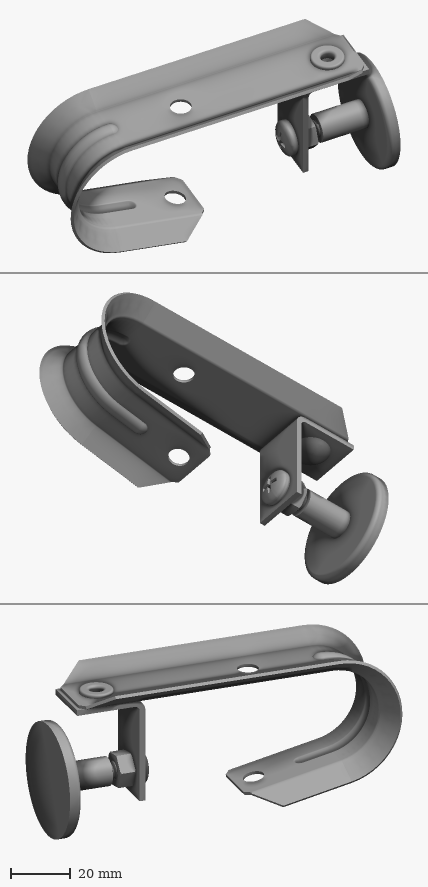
import cadquery as cq
import math


DISC_DIAMETER = 40.0
DISC_THICKNESS = 4.4
DISC_EDGE_RADIUS = 1.6
STANDOFF_DIAMETER = 10.2
STANDOFF_LENGTH = 17.0
STANDOFF_END_Y = -DISC_THICKNESS - STANDOFF_LENGTH

OVERALL_LENGTH = 120.9
OVERALL_HEIGHT = 54.3
SHEET = 1.1
FLANGE_ANGLE = math.radians(38)
HOOK_WIDTH = 34.1
FOLD_RADIUS = 0.6
BEND_WEB_RADIUS = 16.7
BEND_FLANGE_RADIUS = 22.7
BEND_ANGLE = 168.7
HOOK_TOP_Z = OVERALL_HEIGHT - DISC_DIAMETER / 2
BEND_Y = BEND_FLANGE_RADIUS - OVERALL_LENGTH
BEND_Z = HOOK_TOP_Z - BEND_FLANGE_RADIUS
WEB_Z = BEND_Z + BEND_WEB_RADIUS
UPPER_ARM_LENGTH = 90.4
LOWER_ARM_LENGTH = 34.9
END_CHAMFER = 9.9
HOOK_HOLE_DIAMETER = 7.3
UPPER_HOLE_OFFSET = 26.2
LOWER_HOLE_OFFSET = 28.0

BEAD_WIDTH = 5.5
BEAD_HEIGHT = 1.3
BEAD_OVERLAP = 0.6
BEAD_LOWER_RUN = 10.8
GROOVE_LIP_RADIUS = 0.7

BRACKET_WIDTH = 19.5
BRACKET_THICKNESS = 2.0
BRACKET_BACK_Y = -6.6
BRACKET_FRONT_Y = -31.2
BRACKET_BOTTOM_Z = -8.3
BRACKET_INNER_RADIUS = 1.8
BRACKET_INNER_Y = BRACKET_FRONT_Y + BRACKET_THICKNESS

RIVET_Y = -17.4
RIVET_SHANK_DIAMETER = 7.0
RIVET_COLLAR_DIAMETER = 11.6
RIVET_COLLAR_HEIGHT = 1.3
RIVET_COLLAR_EDGE_RADIUS = 0.7
RIVET_HEAD_DIAMETER = 13.5
RIVET_HEAD_HEIGHT = 2.2
RIVET_BORE_DIAMETER = 4.6
RIVET_BORE_DEPTH = 3.0
RIVET_BORE_POINT = 1.3
RIVET_LIP_RADIUS = 1.1

NUT_ACROSS_FLATS = 11.1
NUT_THICKNESS = 5.4
NUT_TURN = 69.2
NUT_CHAMFER = 0.4

SCREW_DIAMETER = 6.3
SCREW_ENGAGEMENT = 8.5
THREAD_PITCH = 1.27
THREAD_DEPTH = 0.7
THREAD_CREST = 0.2
SCREW_HEAD_DIAMETER = 12.6
SCREW_HEAD_HEIGHT = 4.1
SCREW_HEAD_SIDE_HEIGHT = 1.7
SCREW_HEAD_LOWER_BAND = 0.6
SCREW_HEAD_TAPER = 0.1
RECESS_LENGTH = 7.0
RECESS_WIDTH = 1.6
RECESS_DEPTH = 1.9


def y_cylinder(diameter, start_y, length):
    """Cylinder on the Y axis that runs from start_y toward -Y."""
    return cq.Workplane("XZ", origin=(0, start_y, 0)).circle(diameter / 2).extrude(length)


def make_disc():
    disc = y_cylinder(DISC_DIAMETER, 0, DISC_THICKNESS)
    return disc.faces("<Y").edges().fillet(DISC_EDGE_RADIUS)


def make_standoff():
    standoff = y_cylinder(STANDOFF_DIAMETER, -DISC_THICKNESS, STANDOFF_LENGTH)
    bore = y_cylinder(SCREW_DIAMETER, STANDOFF_END_Y + SCREW_ENGAGEMENT, SCREW_ENGAGEMENT)
    return standoff.cut(bore)


FLANGE_SIN = math.sin(FLANGE_ANGLE)
FLANGE_COS = math.cos(FLANGE_ANGLE)
FLANGE_RISE = BEND_FLANGE_RADIUS - BEND_WEB_RADIUS - SHEET
FLANGE_TIP_X = HOOK_WIDTH / 2 - SHEET * FLANGE_SIN
FLANGE_ROOT_X = FLANGE_TIP_X - FLANGE_RISE * FLANGE_COS / FLANGE_SIN
FLANGE_LENGTH = FLANGE_RISE / FLANGE_SIN


def mirrored(point):
    return (-point[0], point[1])


def channel_profile():
    """Channel section at the upper end of the bend, with the folds rounded."""
    half_turn = math.tan(FLANGE_ANGLE / 2)
    outer_root_x = FLANGE_ROOT_X + SHEET * half_turn
    inner_setback = FOLD_RADIUS * half_turn
    outer_radius = FOLD_RADIUS + SHEET
    outer_setback = outer_radius * half_turn
    top_z = WEB_Z + SHEET

    outer_start = (outer_root_x - outer_setback, WEB_Z)
    outer_end = (outer_root_x + outer_setback * FLANGE_COS, WEB_Z + outer_setback * FLANGE_SIN)
    outer_tip = (HOOK_WIDTH / 2, HOOK_TOP_Z - SHEET * FLANGE_COS)
    inner_tip = (FLANGE_TIP_X, HOOK_TOP_Z)
    inner_end = (FLANGE_ROOT_X + inner_setback * FLANGE_COS, top_z + inner_setback * FLANGE_SIN)
    inner_start = (FLANGE_ROOT_X - inner_setback, top_z)

    return (
        cq.Workplane("XZ", origin=(0, BEND_Y, 0))
        .moveTo(*outer_start)
        .radiusArc(outer_end, -outer_radius)
        .lineTo(*outer_tip)
        .lineTo(*inner_tip)
        .lineTo(*inner_end)
        .radiusArc(inner_start, FOLD_RADIUS)
        .lineTo(*mirrored(inner_start))
        .radiusArc(mirrored(inner_end), FOLD_RADIUS)
        .lineTo(*mirrored(inner_tip))
        .lineTo(*mirrored(outer_tip))
        .lineTo(*mirrored(outer_end))
        .radiusArc(mirrored(outer_start), -outer_radius)
        .close()
    )


def end_chamfer_cutter(end_y):
    """Removes a 45 degree corner, measured along the sheet, from the +X side of an arm's end."""
    start_x = FLANGE_ROOT_X + FLANGE_LENGTH - END_CHAMFER
    web_run = FLANGE_ROOT_X - start_x
    margin = SHEET
    fold_x = FLANGE_ROOT_X + margin
    top_z = WEB_Z + SHEET
    web_corner = (
        cq.Workplane("XY", origin=(0, 0, WEB_Z - margin))
        .moveTo(start_x, end_y)
        .lineTo(FLANGE_ROOT_X, end_y - web_run)
        .lineTo(fold_x, end_y - web_run)
        .lineTo(fold_x, end_y)
        .close()
        .extrude(SHEET + 2 * margin)
    )
    flange_plane = cq.Plane(
        origin=(FLANGE_ROOT_X, end_y, top_z),
        xDir=(FLANGE_COS, 0, FLANGE_SIN),
        normal=(-FLANGE_SIN, 0, FLANGE_COS),
    )
    reach = FLANGE_LENGTH + margin
    flange_corner = (
        cq.Workplane(flange_plane)
        .workplane(offset=-SHEET - margin)
        .polyline([(0, 0), (0, -web_run), (reach, -web_run - reach), (reach, 0)])
        .close()
        .extrude(SHEET + 2 * margin)
    )
    return web_corner.union(flange_corner)


def straight_arm(length, hole_offset):
    """Flat arm that leaves the upper end of the bend toward +Y, with its hole and cut corners."""
    arm = channel_profile().extrude(-length)
    cutter = end_chamfer_cutter(BEND_Y + length)
    hole = (
        cq.Workplane("XY", origin=(0, BEND_Y + hole_offset, WEB_Z))
        .circle(HOOK_HOLE_DIAMETER / 2)
        .extrude(SHEET)
    )
    return arm.cut(cutter).cut(cutter.mirror("YZ")).cut(hole)


def to_lower_end(body):
    """Carries a body from the upper end of the bend to the lower end."""
    flipped = body.mirror("XZ", (0, BEND_Y, 0))
    return flipped.rotate((0, BEND_Y, BEND_Z), (1, BEND_Y, BEND_Z), BEND_ANGLE)


def revolve_bend(profile):
    return profile.revolve(BEND_ANGLE, (0, BEND_Z, 0), (1, BEND_Z, 0))


BEAD_RADIUS = ((BEAD_WIDTH / 2) ** 2 + BEAD_HEIGHT**2) / (2 * BEAD_HEIGHT)
BEAD_CENTRE_Z = WEB_Z + SHEET + BEAD_HEIGHT - BEAD_RADIUS


def bead_section(half):
    """Raised bead with its foot buried in the web, whole or only its +X half."""
    foot_z = WEB_Z + BEAD_OVERLAP
    half_width = math.sqrt(BEAD_RADIUS**2 - (foot_z - BEAD_CENTRE_Z) ** 2)
    crown = (0, BEAD_CENTRE_Z + BEAD_RADIUS)
    outline = cq.Workplane("XZ", origin=(0, BEND_Y, 0)).moveTo(0, foot_z).lineTo(half_width, foot_z)
    if half:
        return outline.radiusArc(crown, -BEAD_RADIUS).close()
    return outline.threePointArc(crown, (-half_width, foot_z)).close()


def groove_section(half):
    """Groove behind the bead with a rounded lip at the web's inner face, whole or only its +X half."""
    groove_radius = BEAD_RADIUS - SHEET
    base_z = WEB_Z - BEAD_OVERLAP
    lip_centre_rise = WEB_Z + GROOVE_LIP_RADIUS - BEAD_CENTRE_Z
    centre_distance = groove_radius + GROOVE_LIP_RADIUS
    lip_x = math.sqrt(centre_distance**2 - lip_centre_rise**2)
    share = groove_radius / centre_distance
    lip_end = (lip_x * share, BEAD_CENTRE_Z + lip_centre_rise * share)
    crown = (0, BEAD_CENTRE_Z + groove_radius)
    outline = (
        cq.Workplane("XZ", origin=(0, BEND_Y, 0))
        .moveTo(0, base_z)
        .lineTo(lip_x, base_z)
        .lineTo(lip_x, WEB_Z)
        .radiusArc(lip_end, GROOVE_LIP_RADIUS)
    )
    if half:
        return outline.radiusArc(crown, -groove_radius).close()
    return (
        outline.threePointArc(crown, mirrored(lip_end))
        .radiusArc((-lip_x, WEB_Z), GROOVE_LIP_RADIUS)
        .lineTo(-lip_x, base_z)
        .close()
    )


def bead_body(section):
    """Carries a section around the bend and along the lower arm, with a domed end at each side."""
    dome = section(half=True).revolve(-180, (0, 0, 0), (0, 1, 0))
    lower_run = section(half=False).extrude(-BEAD_LOWER_RUN)
    lower_end = lower_run.union(dome.translate((0, BEAD_LOWER_RUN, 0)))
    return revolve_bend(section(half=False)).union(dome).union(to_lower_end(lower_end))


def make_hook():
    upper_arm = straight_arm(UPPER_ARM_LENGTH, UPPER_HOLE_OFFSET)
    lower_arm = to_lower_end(straight_arm(LOWER_ARM_LENGTH, LOWER_HOLE_OFFSET))
    hook = revolve_bend(channel_profile()).union(upper_arm).union(lower_arm)
    hook = hook.union(bead_body(bead_section))
    hook = hook.cut(bead_body(groove_section))
    return hook.cut(rivet_shank())


def make_bracket():
    horizontal_length = BRACKET_BACK_Y - BRACKET_FRONT_Y
    vertical_length = WEB_Z - BRACKET_BOTTOM_Z
    inner_z = WEB_Z - BRACKET_THICKNESS
    plane = cq.Workplane("YZ", origin=(-BRACKET_WIDTH / 2, 0, 0))
    bracket = (
        plane.moveTo(BRACKET_FRONT_Y, BRACKET_BOTTOM_Z)
        .vLine(vertical_length)
        .hLine(horizontal_length)
        .vLine(-BRACKET_THICKNESS)
        .lineTo(BRACKET_INNER_Y, inner_z)
        .lineTo(BRACKET_INNER_Y, BRACKET_BOTTOM_Z)
        .close()
        .extrude(BRACKET_WIDTH)
    )
    inner_corner = cq.selectors.NearestToPointSelector((0, BRACKET_INNER_Y, inner_z))
    outer_corner = cq.selectors.NearestToPointSelector((0, BRACKET_FRONT_Y, WEB_Z))
    bracket = bracket.edges("|X").edges(inner_corner).fillet(BRACKET_INNER_RADIUS)
    bracket = bracket.edges("|X").edges(outer_corner).fillet(BRACKET_INNER_RADIUS + BRACKET_THICKNESS)
    screw_hole = y_cylinder(SCREW_DIAMETER, BRACKET_INNER_Y, BRACKET_THICKNESS)
    return bracket.cut(screw_hole).cut(rivet_shank())


RIVET_HEAD_Z = WEB_Z - BRACKET_THICKNESS
RIVET_SEAT_Z = WEB_Z + SHEET


def rivet_shank():
    return (
        cq.Workplane("XY", origin=(0, RIVET_Y, RIVET_HEAD_Z))
        .circle(RIVET_SHANK_DIAMETER / 2)
        .extrude(RIVET_SEAT_Z - RIVET_HEAD_Z)
    )


def make_rivet():
    """Half section revolved about the rivet's vertical axis."""
    head_radius = RIVET_HEAD_DIAMETER / 2
    shank_radius = RIVET_SHANK_DIAMETER / 2
    collar_radius = RIVET_COLLAR_DIAMETER / 2
    bore_radius = RIVET_BORE_DIAMETER / 2
    collar_top_z = RIVET_SEAT_Z + RIVET_COLLAR_HEIGHT
    bore_floor_z = collar_top_z - RIVET_BORE_DEPTH
    dome_radius = (head_radius**2 + RIVET_HEAD_HEIGHT**2) / (2 * RIVET_HEAD_HEIGHT)
    return (
        cq.Workplane("XZ", origin=(0, RIVET_Y, 0))
        .moveTo(0, RIVET_HEAD_Z - RIVET_HEAD_HEIGHT)
        .radiusArc((head_radius, RIVET_HEAD_Z), -dome_radius)
        .lineTo(shank_radius, RIVET_HEAD_Z)
        .lineTo(shank_radius, RIVET_SEAT_Z)
        .lineTo(collar_radius, RIVET_SEAT_Z)
        .lineTo(collar_radius, collar_top_z - RIVET_COLLAR_EDGE_RADIUS)
        .radiusArc((collar_radius - RIVET_COLLAR_EDGE_RADIUS, collar_top_z), -RIVET_COLLAR_EDGE_RADIUS)
        .lineTo(bore_radius + RIVET_LIP_RADIUS, collar_top_z)
        .radiusArc((bore_radius, collar_top_z - RIVET_LIP_RADIUS), -RIVET_LIP_RADIUS)
        .lineTo(bore_radius, bore_floor_z)
        .lineTo(0, bore_floor_z - RIVET_BORE_POINT)
        .close()
        .revolve(360, (0, 0, 0), (0, 1, 0))
    )


NUT_END_Y = BRACKET_INNER_Y + NUT_THICKNESS


def make_nut():
    corner_diameter = NUT_ACROSS_FLATS / math.cos(math.pi / 6)
    nut = (
        cq.Workplane("XZ", origin=(0, NUT_END_Y, 0))
        .polygon(6, corner_diameter)
        .extrude(NUT_THICKNESS)
        .rotate((0, 0, 0), (0, 1, 0), NUT_TURN)
    )
    rounded_corners = y_cylinder(corner_diameter, NUT_END_Y, NUT_THICKNESS).edges().chamfer(NUT_CHAMFER)
    bore = y_cylinder(SCREW_DIAMETER, NUT_END_Y, NUT_THICKNESS)
    return nut.intersect(rounded_corners).cut(bore)


def screw_head():
    radius = SCREW_HEAD_DIAMETER / 2
    crown_height = SCREW_HEAD_HEIGHT - SCREW_HEAD_SIDE_HEIGHT
    side_end_y = BRACKET_FRONT_Y - SCREW_HEAD_SIDE_HEIGHT
    head = (
        cq.Workplane("XY")
        .moveTo(0, BRACKET_FRONT_Y)
        .lineTo(radius - SCREW_HEAD_TAPER, BRACKET_FRONT_Y)
        .lineTo(radius, BRACKET_FRONT_Y - SCREW_HEAD_LOWER_BAND)
        .lineTo(radius, side_end_y)
        .ellipseArc(radius, crown_height, 270, 360, sense=-1)
        .close()
        .revolve(360, (0, 0, 0), (0, 1, 0))
    )
    recess_plane = cq.Workplane("XZ", origin=(0, BRACKET_FRONT_Y - SCREW_HEAD_HEIGHT + RECESS_DEPTH, 0))
    for length, height in ((RECESS_LENGTH, RECESS_WIDTH), (RECESS_WIDTH, RECESS_LENGTH)):
        head = head.cut(recess_plane.rect(length, height).extrude(RECESS_DEPTH))
    return head


def thread_groove():
    """Helical V groove on the stretch of shank between the nut and the standoff."""
    radius = SCREW_DIAMETER / 2
    length = STANDOFF_END_Y - NUT_END_Y
    helix = cq.Wire.makeHelix(THREAD_PITCH, length, radius)
    half_opening = (THREAD_PITCH - THREAD_CREST) / 2
    overshoot = THREAD_CREST / 2
    mouth = half_opening * (THREAD_DEPTH + overshoot) / THREAD_DEPTH
    groove = (
        cq.Workplane("XZ")
        .moveTo(radius - THREAD_DEPTH, 0)
        .lineTo(radius + overshoot, mouth)
        .lineTo(radius + overshoot, -mouth)
        .close()
        .sweep(cq.Workplane(obj=helix), isFrenet=True)
    )
    return groove.rotate((0, 0, 0), (1, 0, 0), -90).translate((0, NUT_END_Y, 0))


def make_screw():
    tip_y = STANDOFF_END_Y + SCREW_ENGAGEMENT
    shank = y_cylinder(SCREW_DIAMETER, tip_y, tip_y - BRACKET_FRONT_Y)
    return shank.cut(thread_groove()).union(screw_head())


disc = make_disc()
standoff = make_standoff()
hook = make_hook()
bracket = make_bracket()
rivet = make_rivet()
nut = make_nut()
screw = make_screw()

result = cq.Compound.makeCompound(
    [disc.val(), standoff.val(), hook.val(), bracket.val(), rivet.val(), nut.val(), screw.val()]
)